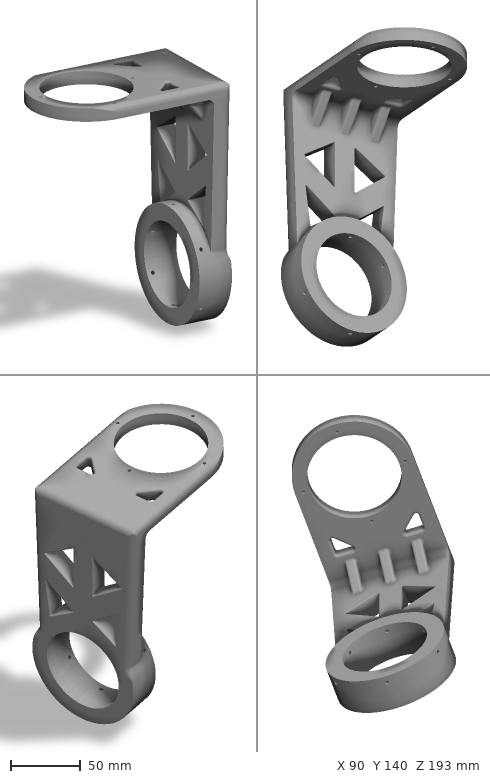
import cadquery as cq
import math

total_height = 193.0
plate_reach = 140.0
outer_radius = 45.0
plate_thickness = 10.0
arm_thickness = 15.0
blend_radius = 5.0
plate_bottom = total_height - plate_thickness

plate_bore_y = outer_radius - plate_reach
plate_bore_radius = 34.0
plate_screw_circle = 38.6
plate_screw_diameter = 2.5
plate_screw_count = 4
plate_window_leg = 17.2
plate_window_x = 33.5
plate_window_y = -37.5
plate_window_corner = 2.0
plate_window_blend = 2.0

ring_depth = 27.2
ring_bore_radius = 32.0
ring_center_z = outer_radius
ring_screw_diameter = 3.0
ring_screw_y = -22.2
ring_screw_count = 6

arm_foot_half_width = 40.0
flare_radius = 5.0
arm_taper = math.atan2(outer_radius - arm_foot_half_width, plate_bottom - ring_center_z)

flare_distance = outer_radius + flare_radius
flare_offset = flare_radius + arm_foot_half_width * math.cos(arm_taper)
flare_angle = math.acos(flare_offset / flare_distance) - arm_taper
flare_x = flare_distance * math.cos(flare_angle)
flare_z = ring_center_z + flare_distance * math.sin(flare_angle)
arm_foot_z = ring_center_z + outer_radius * math.sin(flare_angle)

upper_window = [(-8.5, 153.5), (-8.5, 117.2), (-34.5, 136.8)]
lower_window = [(-33.4, 113.3), (-8.5, 94.5), (-29.1, 81.0)]
arm_window_corner = 0.5
arm_window_blend = 0.5

rib_width = 8.0
rib_pitch = 25.0
rib_reach = 17.2
rib_drop = 21.5
rib_blend = 2.0

tolerance = 0.02


def make_bracket():
    """L-shaped bracket of plate and arm, with its inside corner and the plate's outer edges rounded."""
    bracket = (
        cq.Workplane("YZ")
        .moveTo(0, arm_foot_z)
        .lineTo(0, total_height)
        .lineTo(-plate_reach, total_height)
        .lineTo(-plate_reach, plate_bottom)
        .lineTo(-arm_thickness, plate_bottom)
        .lineTo(-arm_thickness, arm_foot_z)
        .close()
        .extrude(outer_radius, both=True)
    )
    top_back = cq.selectors.NearestToPointSelector((0, 0, total_height))
    inside = cq.selectors.NearestToPointSelector((0, -arm_thickness, plate_bottom))
    bracket = bracket.edges(top_back).fillet(blend_radius)
    bracket = bracket.edges(inside).fillet(blend_radius)

    plate_limits = (
        cq.Workplane("XY")
        .box(2 * outer_radius, plate_reach, total_height, centered=(True, False, False))
        .translate((0, -plate_reach, 0))
        .edges("|Y and >Z")
        .fillet(blend_radius)
    )

    plan_limits = (
        cq.Workplane("XY")
        .moveTo(-outer_radius, 0)
        .lineTo(-outer_radius, plate_bore_y)
        .threePointArc((0, -plate_reach), (outer_radius, plate_bore_y))
        .lineTo(outer_radius, 0)
        .close()
        .extrude(total_height)
    )

    return bracket.intersect(plate_limits).intersect(plan_limits)


def cut_arm_windows(body):
    """Two mirrored pairs of triangular windows with eased corners, rounded on both faces."""
    front = cq.Workplane("XZ", origin=(0, -arm_thickness, 0))
    for side in (-1, 1):
        for corners in (upper_window, lower_window):
            outline = [(-side * x, z) for x, z in corners]
            window = front.polyline(outline).close().extrude(-arm_thickness)
            body = body.cut(window.edges("|Y").fillet(arm_window_corner))
            (x1, z1), (x2, z2) = outline[:2]
            for face_y in (-arm_thickness, 0):
                rim = cq.selectors.NearestToPointSelector(((x1 + x2) / 2, face_y, (z1 + z2) / 2))
                body = body.edges(rim).fillet(arm_window_blend)
    return body


def make_rib(center_x):
    """Triangular rib with its two sloping edges rounded."""
    overlap = arm_thickness / 2
    slope = rib_drop / rib_reach
    rib = (
        cq.Workplane("YZ", origin=(center_x, 0, 0))
        .moveTo(-arm_thickness - rib_reach - overlap / slope, plate_bottom + overlap)
        .lineTo(-arm_thickness + overlap, plate_bottom + overlap)
        .lineTo(-arm_thickness + overlap, plate_bottom - rib_drop - overlap * slope)
        .close()
        .extrude(rib_width / 2, both=True)
    )
    return rib.edges("not (|X or |Y or |Z)").fillet(rib_blend)


def add_ribs(body):
    """Three ribs in the inside corner, blended into the plate and the arm."""
    bracket = body.val()
    for step in (-1, 0, 1):
        center_x = step * rib_pitch
        body = body.union(make_rib(center_x))

        corner = cq.selectors.BoxSelector(
            (center_x - rib_width, -arm_thickness - 2 * rib_reach, plate_bottom - 2 * rib_drop),
            (center_x + rib_width, -arm_thickness + tolerance, plate_bottom + tolerance),
            boundingbox=True,
        )
        roots = [
            edge
            for edge in body.edges(corner).vals()
            if cq.Vertex.makeVertex(*edge.positionAt(0.5).toTuple()).distance(bracket) < tolerance
        ]
        body = body.newObject(roots).fillet(rib_blend)
    return body


def cut_plate_openings(body):
    """Bore, screw holes and two triangular windows of the plate, rounded on both faces."""
    top = cq.Workplane("XY", origin=(0, plate_bore_y, total_height))
    body = body.cut(top.circle(plate_bore_radius).extrude(-plate_thickness))
    screws = top.polarArray(plate_screw_circle, 0, 360, plate_screw_count)
    body = body.cut(screws.circle(plate_screw_diameter / 2).extrude(-plate_thickness))
    for side in (-1, 1):
        window = (
            cq.Workplane("XY", origin=(side * plate_window_x, plate_window_y, plate_bottom))
            .lineTo(-side * plate_window_leg, 0)
            .lineTo(0, -plate_window_leg)
            .close()
            .extrude(plate_thickness)
            .edges("|Z")
            .fillet(plate_window_corner)
        )
        body = body.cut(window)
        for face_z in (plate_bottom, total_height):
            rim = cq.selectors.NearestToPointSelector((side * plate_window_x, plate_window_y, face_z))
            body = body.edges(rim).fillet(plate_window_blend)
    return body


def make_side_limits():
    """Tapered and flared outline of the arm, rounded along its back edge, open around the ring."""
    clear_half_width = flare_x + flare_radius
    top_half_width = outer_radius + plate_thickness * math.tan(arm_taper)

    def flare_point(direction):
        """Point of the flare arc; 0 faces the arm and 90 degrees faces down."""
        return flare_x - flare_radius * math.cos(direction), flare_z - flare_radius * math.sin(direction)

    half = (
        cq.Workplane("XZ")
        .moveTo(0, total_height)
        .lineTo(top_half_width, total_height)
        .lineTo(*flare_point(-arm_taper))
        .threePointArc(flare_point(flare_angle), flare_point(math.pi / 2))
        .lineTo(clear_half_width, flare_z - flare_radius)
        .lineTo(clear_half_width, 0)
        .lineTo(0, 0)
        .close()
        .extrude(plate_reach)
    )
    side_middle = (outer_radius, 0, (plate_bottom + flare_z) / 2)
    half = half.edges(cq.selectors.NearestToPointSelector(side_middle)).fillet(blend_radius)
    return half.union(half.mirror("YZ"))


def add_ring(body):
    """Clamp ring with its bore; the rounded sides of the arm run out into it."""
    ring = cq.Workplane("XZ", origin=(0, 0, ring_center_z))
    body = body.union(ring.circle(outer_radius).extrude(ring_depth))
    body = body.intersect(make_side_limits())
    return body.cut(ring.circle(ring_bore_radius).extrude(ring_depth))


def cut_ring_screws(body):
    """Radial screw holes around the clamp ring."""
    center = cq.Vector(0, ring_screw_y, ring_center_z)
    for index in range(ring_screw_count):
        angle = math.radians(90 + index * 360 / ring_screw_count)
        outward = cq.Vector(math.cos(angle), 0, math.sin(angle))
        hole = cq.Solid.makeCylinder(ring_screw_diameter / 2, outer_radius, center, outward)
        body = body.cut(cq.Workplane(hole))
    return body


result = make_bracket()
result = cut_arm_windows(result)
result = add_ribs(result)
result = cut_plate_openings(result)
result = add_ring(result)
result = cut_ring_screws(result)